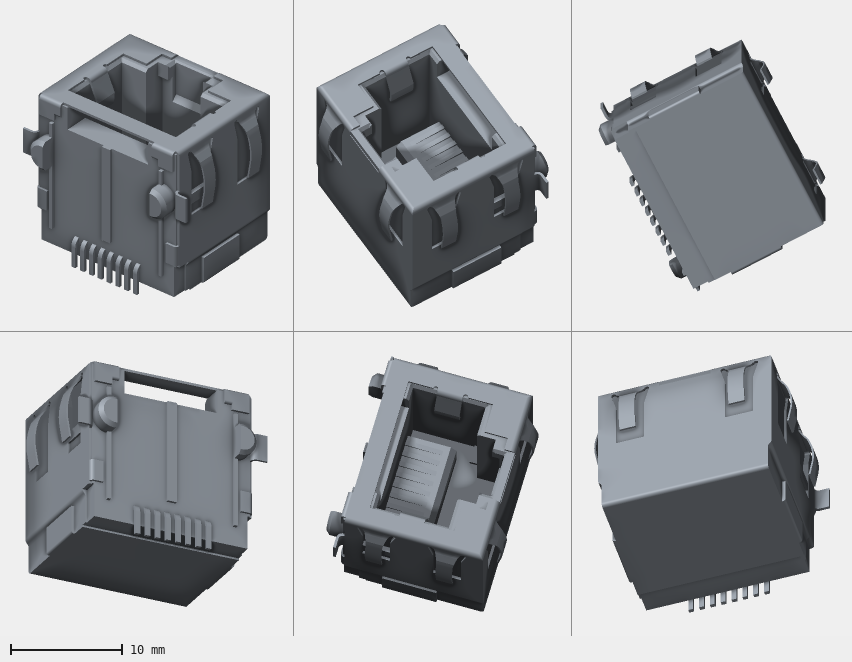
import cadquery as cq

sheet = 0.25
shell_half_width = 8.12
shell_front = 0.17
shell_back = 13.08
shell_top = 15.6
fold_radius = 0.45
front_fold_radius = 0.4
jog_top = 3.42
jog_bottom = 2.73
skirt_half_width = 7.8
skirt_front = 1.47
bottom_plate_front = 2.1
skirt_back_radius = 0.38
pad_front = 3.68
pad_back = 8.75
pad_edge_radius = 0.25

housing_half_width = shell_half_width - sheet
housing_back = shell_back - sheet
housing_top = shell_top - sheet
housing_bottom = 0.19
foot_half_width = 7.65

cavity_floor = 3.38
cavity_half_width = 5.92
cavity_front = 2.52
cavity_back = 9.29
step_half_width = 3.15
step_back = 11.04
latch_back = 11.7
latch_ceiling = 13.91
key_half_width = 2.01
key_back = 12.18
key_lead_in_offset = 0.13
key_floor = 11.28
key_ramp_height = 0.56
lead_in = 0.28
mouth_margin = 0.3
mouth_front = 2.01
mouth_back = 9.89
mouth_step_half_width = 3.53
mouth_step_back = 12.05
mouth_key_half_width = 2.43
key_notch_depth = 0.56
key_bridge_inset = 0.05
recess_half_width = 4.65
recess_floor = 13.05
corner_pad_width = 1.62
corner_pad_length = 1.02
corner_pad_height = 0.38

contact_count = 8
contact_pitch = 1.02
contact_width = 0.45
contact_back = 5.96
contact_rise = 0.19
comb_half_width = 4.29
comb_back = 7.05
comb_top = 6.4
comb_bevel = 0.53
pin_exit = 2.1
pin_bend_end = 1.28
pin_tip = -0.88
pin_outer = -0.53
pin_thickness = 0.32

center_rib_width = 0.94
center_rib_bottom = 3.15
center_rib_height = 0.28
guide_rib_inner = 6.15
guide_rib_width = 0.35
guide_rib_bottom = 2.07
guide_rib_top = 13.2
guide_rib_height = 0.38
post_x = 6.35
post_z = 10.25
post_radius = 1.52
post_length = 1.67
post_chamfer = 0.35

top_tab_inner = 5.26
top_tab_face = -0.28
top_tab_step = 6.0
top_tab_outer = 7.69
top_tab_bottom = 13.57
top_tab_lip = 14.14
lip_radius = 0.23
clip_inner = 6.86
clip_bottom = 3.67
clip_top = 5.72
board_tab_bottom = 8.99
board_tab_top = 11.55
board_tab_reach = 9.4
board_tab_outer_y = -0.5
board_tab_bend = 0.35

side_finger_y = (3.15, 9.74)
back_finger_x = (-5.11, 5.11)
window_half_width = 1.3
window_bottom = 8.18
window_flare_start = 12.92
window_top = 15.04
window_top_half_width = 1.55
window_end_radius = 0.23
finger_half_width = 0.75
finger_root_half_width = 1.32
finger_flare_start = 13.2
finger_flare_mid = 14.25
finger_flare_mid_half_width = 0.98
finger_thickness = 0.17
finger_root = 14.95
finger_fold_x = 0.23
finger_fold_z = 14.36
finger_rise_x = 0.65
finger_rise_z = 13.76
finger_peak = 11.4
finger_bow = 1.17
finger_bend = 10.13
finger_tip = 8.91
finger_tip_x = 0.83
latch_bump_bottom = 9.29
latch_bump_top = 10.32
latch_bump_height = 0.2

tongue_y = 5.95
tongue_width = 2.33
tongue_inner = 4.96
tongue_knee = 13.35
tongue_hook = 0.15
tongue_end = 12.13
relief_radius = 0.23


def block(x0, x1, y0, y1, z0, z1):
    """Axis-aligned box between two opposite corners."""
    return cq.Workplane("XY").box(x1 - x0, y1 - y0, z1 - z0, centered=False).translate((x0, y0, z0))


def centered_block(half_width, y0, y1, z0, z1):
    return block(-half_width, half_width, y0, y1, z0, z1)


def both_sides(body):
    """The body together with its mirror image across X = 0."""
    return body.union(body.mirror("YZ"))


def make_shell():
    upper = centered_block(shell_half_width, shell_front, shell_back, jog_top, shell_top)
    upper = upper.faces(">Z").edges("|Y or >Y").fillet(fold_radius)

    jog_mid_x = (shell_half_width + skirt_half_width) / 2
    jog_mid_z = (jog_top + jog_bottom) / 2
    jog_bulge = (shell_half_width - skirt_half_width) / 8
    jog_quarter = (jog_top - jog_bottom) / 4
    half_skirt = (
        cq.Workplane("XZ", origin=(0, shell_back, 0))
        .moveTo(0, jog_top)
        .lineTo(shell_half_width, jog_top)
        .threePointArc(
            (shell_half_width - jog_bulge, jog_mid_z + jog_quarter),
            (jog_mid_x, jog_mid_z),
        )
        .threePointArc(
            (skirt_half_width + jog_bulge, jog_mid_z - jog_quarter),
            (skirt_half_width, jog_bottom),
        )
        .lineTo(skirt_half_width, 0)
        .lineTo(0, 0)
        .close()
        .extrude(shell_back - skirt_front)
    )
    skirt = both_sides(half_skirt)
    skirt = skirt.faces("<Z").edges(">Y").fillet(skirt_back_radius)
    skirt = skirt.cut(
        centered_block(shell_half_width, skirt_front, bottom_plate_front, 0, housing_bottom)
    )
    pad = centered_block(shell_half_width, pad_front, pad_back, 0, jog_bottom)
    pad = pad.faces("<Z").edges("|Y").fillet(pad_edge_radius)
    return upper.union(skirt).union(pad)


def make_housing():
    body = centered_block(housing_half_width, 0, housing_back, jog_top, housing_top)
    foot = centered_block(foot_half_width, 0, housing_back, housing_bottom, jog_top)
    return body.union(foot)


def cavity_cut():
    """Stepped plug opening with a lead-in, the latch pocket and the key slot."""
    plug = centered_block(cavity_half_width, cavity_front, cavity_back, cavity_floor, shell_top)
    step = centered_block(step_half_width, cavity_front, step_back, cavity_floor, shell_top)
    latch = centered_block(step_half_width, cavity_front, latch_back, cavity_floor, latch_ceiling)
    key = (
        cq.Workplane("YZ", origin=(-key_half_width, 0, 0))
        .moveTo(step_back, key_floor)
        .lineTo(latch_back, key_floor)
        .lineTo(key_back, key_floor + key_ramp_height)
        .lineTo(key_back, shell_top)
        .lineTo(step_back, shell_top)
        .close()
        .extrude(2 * key_half_width)
    )
    cut = plug.union(step).union(latch).union(key)
    plug_lead_in = lead_in_cut(cavity_half_width, cavity_front, cavity_back)
    key_lead_in = lead_in_cut(key_half_width, step_back + lead_in, key_back - key_lead_in_offset)
    return cut.union(plug_lead_in).union(key_lead_in)


def lead_in_cut(half_width, y0, y1):
    """45 degree funnel that widens a rectangular opening at the housing top."""
    return (
        cq.Workplane("XY", origin=(0, (y0 + y1) / 2, housing_top - lead_in))
        .rect(2 * half_width, y1 - y0)
        .workplane(offset=lead_in)
        .rect(2 * (half_width + lead_in), y1 - y0 + 2 * lead_in)
        .loft(ruled=True)
    )


def mouth_cut():
    """Opening in the shell top, running out through the rear fold at the key."""
    mouth_half_width = cavity_half_width + mouth_margin
    sheet_z = (housing_top, shell_top)
    cut = centered_block(mouth_half_width, mouth_front, mouth_back, *sheet_z)
    cut = cut.union(centered_block(mouth_step_half_width, mouth_front, mouth_step_back, *sheet_z))
    cut = cut.union(centered_block(mouth_key_half_width, mouth_front, shell_back, *sheet_z))
    relief_offset = tongue_width / 2 + relief_radius
    reliefs = (
        cq.Workplane("XY", origin=(0, tongue_y, housing_top))
        .rect(2 * mouth_half_width, 2 * relief_offset, forConstruction=True)
        .vertices()
        .circle(relief_radius)
        .extrude(sheet)
    )
    return cut.union(reliefs)


def rear_notch():
    """Gap in the shell's rear fold behind the key slot."""
    return centered_block(
        mouth_key_half_width,
        shell_back - key_bridge_inset,
        shell_back,
        housing_top - key_notch_depth,
        shell_top,
    )


def key_bridge():
    """Housing block that fills the rear notch."""
    return centered_block(
        mouth_key_half_width,
        key_back,
        shell_back - key_bridge_inset,
        housing_top - key_notch_depth,
        housing_top,
    )


def front_recess():
    return centered_block(recess_half_width, 0, cavity_front, recess_floor, housing_top)


def make_comb():
    """Contact carrier on the cavity floor with eight contact strips."""
    comb = centered_block(comb_half_width, cavity_front, comb_back, cavity_floor, comb_top)
    comb = comb.faces(">Z").edges(">Y").chamfer(comb_bevel)
    for x in contact_positions():
        strip = (
            cq.Workplane("YZ", origin=(x - contact_width / 2, 0, 0))
            .moveTo(cavity_front, comb_top)
            .lineTo(contact_back, comb_top)
            .lineTo(cavity_front, comb_top + contact_rise)
            .close()
            .extrude(contact_width)
        )
        comb = comb.union(strip)
    return comb


def corner_pads():
    pad = block(
        cavity_half_width - corner_pad_width,
        cavity_half_width,
        cavity_back - corner_pad_length,
        cavity_back,
        cavity_floor,
        cavity_floor + corner_pad_height,
    )
    return both_sides(pad)


def contact_positions():
    first = -contact_pitch * (contact_count - 1) / 2
    return [first + contact_pitch * i for i in range(contact_count)]


def make_pins():
    """Solder tails that leave the mounting face and turn down."""
    pin_inner = pin_outer + pin_thickness
    bend_radius = (pin_outer**2 + (pin_exit - pin_bend_end) ** 2) / (-2 * pin_outer)
    inner_radius = bend_radius - pin_thickness
    inner_exit = pin_bend_end + (inner_radius**2 - (inner_radius + pin_inner) ** 2) ** 0.5
    profile = (
        cq.Workplane("YZ")
        .moveTo(shell_front, pin_exit)
        .lineTo(0, pin_exit)
        .radiusArc((pin_outer, pin_bend_end), -bend_radius)
        .lineTo(pin_outer, pin_tip)
        .lineTo(pin_inner, pin_tip)
        .lineTo(pin_inner, pin_bend_end)
        .radiusArc((0, inner_exit), inner_radius)
        .lineTo(shell_front, inner_exit)
        .close()
        .extrude(contact_width / 2, both=True)
    )
    pins = cq.Workplane("XY")
    for x in contact_positions():
        pins = pins.add(profile.translate((x, 0, 0)))
    return pins.combine()


def mounting_ribs():
    center = centered_block(
        center_rib_width / 2, -center_rib_height, 0, center_rib_bottom, recess_floor
    )
    guide = block(
        guide_rib_inner,
        guide_rib_inner + guide_rib_width,
        -guide_rib_height,
        0,
        guide_rib_bottom,
        guide_rib_top,
    )
    return center.union(both_sides(guide))


def mounting_posts():
    """Board posts, cut flat on the side that faces the centre."""
    post = cq.Workplane("XZ", origin=(post_x, 0, post_z)).circle(post_radius).extrude(post_length)
    post = post.faces("<Y").chamfer(post_chamfer)
    outer_side = block(
        guide_rib_inner,
        post_x + post_radius,
        -post_length,
        0,
        post_z - post_radius,
        post_z + post_radius,
    )
    return both_sides(post.intersect(outer_side))


def top_tabs():
    """Stepped tabs folded down from the shell top over the mounting face."""
    tab = block(top_tab_inner, top_tab_outer, top_tab_face, shell_front, top_tab_bottom, shell_top)
    tab = tab.edges(">Z and <Y").fillet(front_fold_radius)
    tab = tab.cut(
        block(top_tab_inner, top_tab_step, top_tab_face, shell_front, top_tab_bottom, top_tab_lip)
    )
    lip_edge = cq.selectors.NearestToPointSelector(
        ((top_tab_inner + top_tab_step) / 2, top_tab_face, top_tab_lip)
    )
    return both_sides(tab.edges(lip_edge).fillet(lip_radius))


def side_clips():
    """Clips folded inward from the shell sides over the mounting face."""
    clip = block(clip_inner, shell_half_width, -sheet, shell_front, clip_bottom, clip_top)
    return both_sides(clip.edges(">X and <Y").fillet(front_fold_radius))


def board_tabs():
    """Tabs folded outward from the shell sides to lie along the board."""
    inner_y = board_tab_outer_y + sheet
    bend_start = inner_y + board_tab_bend
    bend_end = shell_half_width + board_tab_bend
    tab = (
        cq.Workplane("XY", origin=(0, 0, board_tab_bottom))
        .moveTo(housing_half_width, shell_front)
        .lineTo(housing_half_width, bend_start)
        .radiusArc((bend_end, board_tab_outer_y), -(board_tab_bend + sheet))
        .lineTo(board_tab_reach, board_tab_outer_y)
        .lineTo(board_tab_reach, inner_y)
        .lineTo(bend_end, inner_y)
        .radiusArc((shell_half_width, bend_start), board_tab_bend)
        .lineTo(shell_half_width, shell_front)
        .close()
        .extrude(board_tab_top - board_tab_bottom)
    )
    return both_sides(tab)


def finger_window():
    """Cutter for a window, on a shell face at X = 0 facing +X, centred on Y = 0."""
    outline = (
        cq.Workplane("YZ", origin=(-sheet, 0, 0))
        .moveTo(-window_half_width, window_bottom)
        .lineTo(window_half_width, window_bottom)
        .lineTo(window_half_width, window_flare_start)
        .lineTo(window_top_half_width + window_end_radius, window_top - window_end_radius)
        .threePointArc(
            (window_top_half_width, window_top),
            (window_top_half_width - window_end_radius, window_top - window_end_radius),
        )
        .lineTo(-window_top_half_width + window_end_radius, window_top - window_end_radius)
        .threePointArc(
            (-window_top_half_width, window_top),
            (-window_top_half_width - window_end_radius, window_top - window_end_radius),
        )
        .lineTo(-window_half_width, window_flare_start)
        .close()
    )
    return outline.extrude(sheet)


def spring_finger():
    """Bowed finger, on a shell face at X = 0 facing +X, centred on Y = 0."""
    arc_radius = (finger_bow - finger_rise_x) / 2 + (finger_rise_z - finger_peak) ** 2 / (
        2 * (finger_bow - finger_rise_x)
    )
    bend_x = finger_bow - (finger_peak - finger_bend) ** 2 / (2 * arc_radius)
    fold_x = finger_fold_x / 4
    fold_z = (finger_root + finger_fold_z) / 2
    inset = finger_thickness
    bowed = (
        cq.Workplane("XZ")
        .moveTo(-inset, window_top)
        .lineTo(0, window_top)
        .lineTo(0, finger_root)
        .threePointArc((fold_x, fold_z), (finger_fold_x, finger_fold_z))
        .lineTo(finger_rise_x, finger_rise_z)
        .threePointArc((finger_bow, finger_peak), (bend_x, finger_bend))
        .lineTo(finger_tip_x, finger_tip)
        .lineTo(finger_tip_x - inset, finger_tip)
        .lineTo(bend_x - inset, finger_bend)
        .threePointArc((finger_bow - inset, finger_peak), (finger_rise_x - inset, finger_rise_z))
        .lineTo(finger_fold_x - inset, finger_fold_z)
        .threePointArc((fold_x - inset, fold_z), (-inset, finger_root))
        .close()
        .extrude(finger_root_half_width, both=True)
    )
    outline = (
        cq.Workplane("YZ", origin=(-sheet, 0, 0))
        .moveTo(-finger_half_width, finger_tip)
        .lineTo(finger_half_width, finger_tip)
        .lineTo(finger_half_width, finger_flare_start)
        .threePointArc(
            (finger_flare_mid_half_width, finger_flare_mid),
            (finger_root_half_width, finger_root),
        )
        .lineTo(finger_root_half_width, window_top)
        .lineTo(-finger_root_half_width, window_top)
        .lineTo(-finger_root_half_width, finger_root)
        .threePointArc(
            (-finger_flare_mid_half_width, finger_flare_mid),
            (-finger_half_width, finger_flare_start),
        )
        .close()
        .extrude(2 * finger_bow)
    )
    return bowed.intersect(outline)


def place_around(body):
    """Copies of a +X facing shell feature at all finger positions."""
    placed = cq.Workplane("XY")
    on_side = body.translate((shell_half_width, 0, 0))
    for y in side_finger_y:
        placed = placed.add(both_sides(on_side.translate((0, y, 0))))
    on_back = body.rotate((0, 0, 0), (0, 0, 1), 90).translate((0, shell_back, 0))
    for x in back_finger_x:
        placed = placed.add(on_back.translate((x, 0, 0)))
    return placed.combine()


def latch_bumps():
    """Housing bumps that show in the front window of each side."""
    y = side_finger_y[0]
    bump = block(
        housing_half_width,
        housing_half_width + latch_bump_height,
        y - window_half_width,
        y + window_half_width,
        latch_bump_bottom,
        latch_bump_top,
    )
    return both_sides(bump)


def latch_pockets():
    """Hollow in the housing behind each front side window, above its latch bump."""
    pocket = finger_window().translate((housing_half_width, side_finger_y[0], 0))
    above_bump = centered_block(
        shell_half_width, shell_front, shell_back, latch_bump_top, window_top
    )
    return both_sides(pocket.intersect(above_bump))


def inner_tongues():
    """Tongues rolled down from the mouth edges that bow into the cavity."""
    root_x = cavity_half_width + mouth_margin
    roll_x = root_x - fold_radius
    roll_z = shell_top - fold_radius
    hook_mid_x = tongue_inner + tongue_hook / 4
    hook_mid_z = (tongue_knee + tongue_end) / 2
    tongue = (
        cq.Workplane("XZ", origin=(0, tongue_y, 0))
        .moveTo(root_x, shell_top)
        .radiusArc((roll_x, roll_z), -fold_radius)
        .lineTo(tongue_inner, tongue_knee)
        .threePointArc((hook_mid_x, hook_mid_z), (tongue_inner + tongue_hook, tongue_end))
        .lineTo(tongue_inner + tongue_hook + sheet, tongue_end)
        .threePointArc((hook_mid_x + sheet, hook_mid_z), (tongue_inner + sheet, tongue_knee))
        .lineTo(roll_x + sheet, roll_z)
        .radiusArc((root_x, housing_top), fold_radius - sheet)
        .close()
        .extrude(tongue_width / 2, both=True)
    )
    return both_sides(tongue)


jack = make_shell().cut(place_around(finger_window())).cut(mouth_cut()).cut(rear_notch())
jack = jack.union(make_housing()).union(key_bridge())
jack = jack.cut(cavity_cut()).cut(front_recess()).cut(latch_pockets())

additions = (
    make_comb(),
    corner_pads(),
    make_pins(),
    mounting_ribs(),
    mounting_posts(),
    top_tabs(),
    side_clips(),
    board_tabs(),
    place_around(spring_finger()),
    latch_bumps(),
    inner_tongues(),
)
for addition in additions:
    jack = jack.union(addition)

result = jack